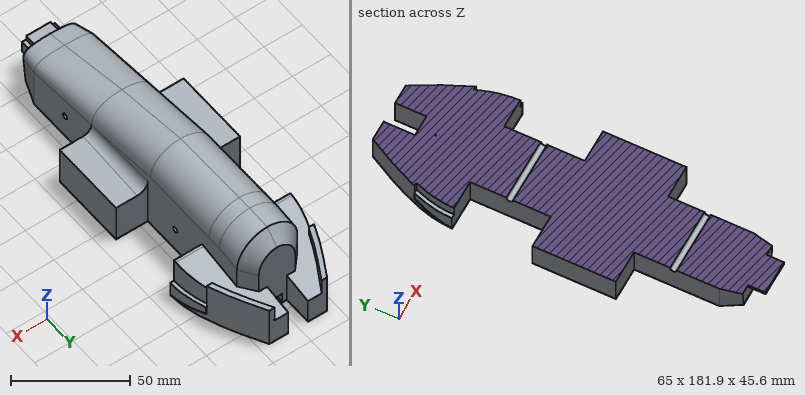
import cadquery as cq
import math

total_length = 181.89
nose_face_y = 8.2
nose_taper_y = 18.1
block_front_y = 58.3
block_rear_y = 97.8
mid_body_y = 99.4
wing_front_y = 135.6
crest_start_y = 140.5
crest_end_y = 147.7
wing_split_y = 155.4
rear_cap_y = 160.2
rear_face_y = 167.1

body_half_width = 15.85
rear_face_half_width = 9.5
nose_half_width = 14.1
nose_bottom_half_width = 12.9
nose_bottom_z = 3.75

nose_face_side_z = 19.1
nose_face_roof_z = 25.2
nose_taper_side_z = 20.8
nose_taper_roof_z = 27.4
block_front_side_z = 25.1
block_front_roof_z = 37.1
mid_body_roof_z = 44.6
crest_side_z = 30.7
body_height = 45.61
rear_cap_side_z = 28.6
rear_cap_roof_z = 45.1
rear_face_side_z = 26.8
rear_face_roof_z = 38.4

round_fullness = 0.55
full_fullness = 0.62
nose_fullness = 0.75

slot_width = 5.7
slot_height = 5.8
cross_hole_diameter = 2.9
cross_hole_z = 12.9
cross_hole_ys = (39.8, 117.0)

tab_half_width = 8.65
tab_rail_half_width = 6.4
tab_bottom_z = 11.9
tab_step_z = 18.1
tab_top_z = 20.4

overall_half_width = 32.5
block_height = 20.75
blend_front_radius = 4.35
blend_rear_radius = 5.5

wing_height = 22.0
wing_gap = 10.3
wing_tip_x = 15.2
wing_split_x = 28.2
wing_bulge_front_x = 31.2
wing_bulge_front_y = 145.5
wing_bulge_rear_x = 22.3
wing_bulge_rear_y = 168.7
wing_panel_offset = 0.3
wing_root_x = overall_half_width - wing_panel_offset
lip_thickness = 2.9
side_recess_thickness = 1.7
ledge_z = 8.2
panel_bottom_rear_z = 3.7
deck_front_z = 21.5
deck_flat_length = 1.3
deck_angle = 10.0
deck_slope = math.tan(math.radians(deck_angle))


def body_section(y, spring_z, top_z, fullness, half_width=body_half_width,
                 bottom_half_width=None, bottom_z=0.0):
    """Closed section at y; the roof is two Bezier quarters rising from spring_z to top_z."""
    bottom_half_width = bottom_half_width or half_width
    shoulder_z = spring_z + fullness * (top_z - spring_z)
    crown_x = fullness * half_width
    section = (
        cq.Workplane("XZ", origin=(0, y, 0))
        .moveTo(-bottom_half_width, bottom_z)
        .lineTo(bottom_half_width, bottom_z)
        .lineTo(half_width, spring_z)
        .bezier([(half_width, spring_z), (half_width, shoulder_z), (crown_x, top_z), (0, top_z)])
        .bezier([(0, top_z), (-crown_x, top_z), (-half_width, shoulder_z), (-half_width, spring_z)])
        .close()
    )
    return section.val()


def make_body():
    """Straight-ruled stretches between sections from the nose face to the rear face."""
    sections = [
        body_section(nose_face_y, nose_face_side_z, nose_face_roof_z, nose_fullness, nose_half_width,
                     nose_bottom_half_width, nose_bottom_z),
        body_section(nose_taper_y, nose_taper_side_z, nose_taper_roof_z, nose_fullness),
        body_section(block_front_y, block_front_side_z, block_front_roof_z, full_fullness),
        body_section(mid_body_y, crest_side_z, mid_body_roof_z, round_fullness),
        body_section(crest_start_y, crest_side_z, body_height, round_fullness),
        body_section(crest_end_y, crest_side_z, body_height, round_fullness),
        body_section(rear_cap_y, rear_cap_side_z, rear_cap_roof_z, round_fullness),
        body_section(rear_face_y, rear_face_side_z, rear_face_roof_z, round_fullness,
                     rear_face_half_width),
    ]
    body = cq.Workplane("XY")
    for front, rear in zip(sections, sections[1:]):
        body = body.union(cq.Workplane(cq.Solid.makeLoft([front, rear], True)))
    return body


def centred_box(half_width, y_start, y_end, z_start, z_end):
    size = (2 * half_width, y_end - y_start, z_end - z_start)
    return cq.Workplane("XY", origin=(0, y_start, z_start)).box(*size, centered=(True, False, False))


def make_tab():
    base = centred_box(tab_half_width, 0, nose_face_y, tab_bottom_z, tab_step_z)
    rail = centred_box(tab_rail_half_width, 0, nose_face_y, tab_step_z, tab_top_z)
    return base.union(rail)


def block_section(y, blend_radius):
    """Half section of a side block with a concave quarter-round against the body side."""
    blend_x = body_half_width + blend_radius
    blend_z = block_height + blend_radius
    to_middle = blend_radius * (1 - math.sqrt(0.5))
    return (
        cq.Workplane("XZ", origin=(0, y, 0))
        .lineTo(overall_half_width, 0)
        .lineTo(overall_half_width, block_height)
        .lineTo(blend_x, block_height)
        .threePointArc((body_half_width + to_middle, block_height + to_middle), (body_half_width, blend_z))
        .lineTo(0, blend_z)
        .close()
        .val()
    )


def make_block():
    front = block_section(block_front_y, blend_front_radius)
    rear = block_section(block_rear_y, blend_rear_radius)
    return cq.Workplane(cq.Solid.makeLoft([front, rear], True))


def wing_plan(inset):
    """Right-hand wing outline, with its curved outer side moved inwards by inset, at full height."""
    outer_side = [
        (wing_root_x - inset, wing_front_y),
        (wing_bulge_front_x - inset, wing_bulge_front_y),
        (wing_split_x - inset, wing_split_y),
        (wing_bulge_rear_x - inset, wing_bulge_rear_y),
        (wing_tip_x - inset, total_length),
    ]
    straight_back = (0, 1)
    tip_direction = (wing_tip_x - wing_bulge_rear_x, total_length - wing_bulge_rear_y)
    return (
        cq.Workplane("XY")
        .moveTo(0, wing_front_y)
        .lineTo(*outer_side[0])
        .spline(outer_side[1:], tangents=[straight_back, tip_direction], includeCurrent=True)
        .lineTo(0, total_length)
        .close()
        .extrude(wing_height)
    )


def side_prism(points):
    """Prism along +X from the centre plane with the given (y, z) outline."""
    return cq.Workplane("YZ").polyline(points).close().extrude(overall_half_width)


def make_wing():
    """Right-hand tail wing: a sloping deck with a raised rear lip and a recessed front side."""
    deck_break_y = wing_front_y + deck_flat_length
    deck_rear_z = deck_front_z - deck_slope * (total_length - deck_break_y)
    under_deck = side_prism([
        (wing_front_y, 0),
        (wing_front_y, deck_front_z),
        (deck_break_y, deck_front_z),
        (total_length, deck_rear_z),
        (total_length, 0),
    ])
    front_part = centred_box(overall_half_width, wing_front_y, wing_split_y, ledge_z, wing_height)
    rear_part = centred_box(overall_half_width, wing_split_y, total_length, 0, wing_height)

    outer = wing_plan(0)
    lip = outer.cut(wing_plan(lip_thickness)).intersect(rear_part)
    recess = front_part.cut(wing_plan(side_recess_thickness))
    panel_space = side_prism([
        (wing_front_y, 0),
        (wing_split_y, panel_bottom_rear_z),
        (wing_split_y, ledge_z),
        (wing_front_y, ledge_z),
    ])
    panel = wing_plan(-wing_panel_offset).intersect(panel_space)

    wing = outer.intersect(under_deck).cut(recess).union(lip).union(panel)
    gap = centred_box(wing_gap / 2, rear_face_y, total_length, 0, wing_height)
    return wing.cut(gap)


def cross_hole(y):
    return (
        cq.Workplane("YZ", origin=(-overall_half_width, y, cross_hole_z))
        .circle(cross_hole_diameter / 2)
        .extrude(2 * overall_half_width)
    )


result = make_body().union(make_tab())
for side_part in (make_block(), make_wing()):
    result = result.union(side_part).union(side_part.mirror("YZ"))
result = result.cut(centred_box(slot_width / 2, 0, rear_face_y, 0, slot_height))
for hole_y in cross_hole_ys:
    result = result.cut(cross_hole(hole_y))